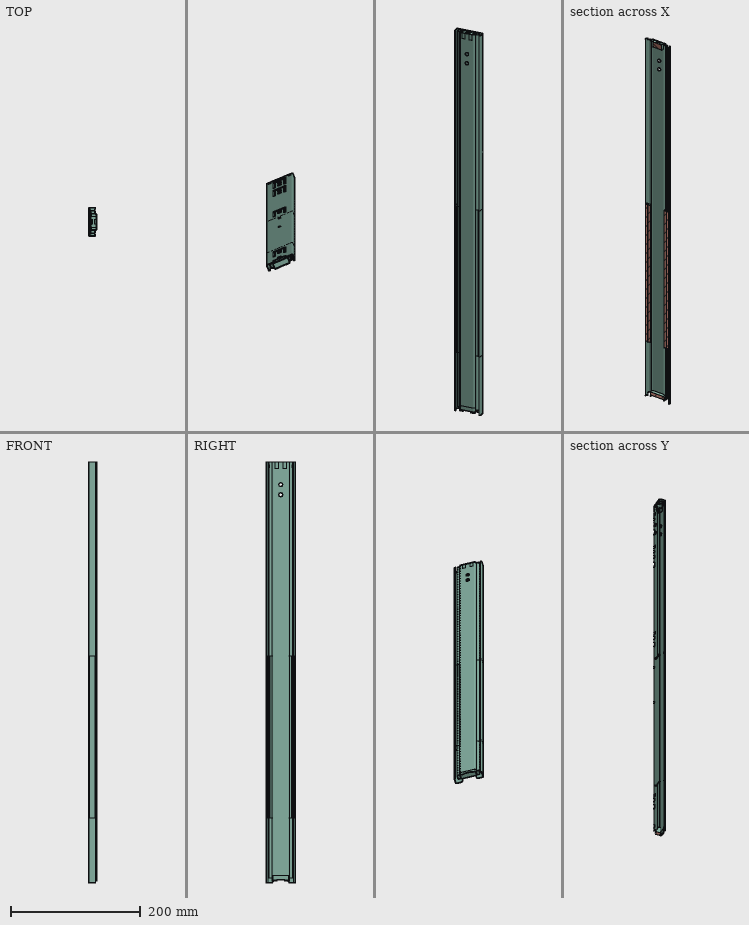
import cadquery as cq


slide_length = 650.0
slide_depth = 12.7
slide_height = 44.98
sheet = 1.2
gap = 1.2

outer_half = slide_height / 2
outer_depth = 10.9
outer_bend = 1.8
outer_lip = 2.8

middle_half = 18.0
middle_web_x = sheet + gap
middle_front_x = 10.3
middle_bend = 2.0
middle_lip = 4.4
middle_bottom = 7.5
middle_step_half = 8.8
middle_step = 0.4

inner_half = 13.2
inner_flange_x = 5.0
inner_bend = 2.4
inner_bottom = 2.6
inner_notch_half = 6.0

inner_cage_sheet = 0.8
outer_cage_clearance = 0.2
cage_bottom = 100.0
cage_top = 350.0

hole_pitch = 32.0
first_hole_z = slide_length - 35.0
hole_diameter = 6.0
screw_diameter = 5.5
long_tab_holes = [first_hole_z, first_hole_z - 2 * hole_pitch]
short_tab_holes = [first_hole_z - 7 * hole_pitch, first_hole_z - 17 * hole_pitch]

slot_half = 10.8
slot_width = 3.9
slot_corner_radius = 2.9
slot_end_radius = 1.9
long_slot_top = 20.5
long_slot_bottom = -24.5
long_pilot = 10.0
long_oblong = -15.6
oblong_length = 9.8
through_hole_heights = [first_hole_z, first_hole_z + long_oblong]
short_slot_top = 10.0
short_slot_bottom = -28.5
short_oblong = -13.0
short_oblong_length = 8.0

pilot_diameter = 4.6
pin_hole_diameter = 4.0
pin_hole_heights = [slide_length - 6.5, 333.0, 264.0]
bottom_hole_z = 19.2
corner_window = 3.9
corner_window_y = 16.7
corner_window_z = slide_length - 6.5
notch_top = 10.4
notch_flare = 2.2
notch_straight = 3.4

bumper_x = middle_web_x + sheet
bumper_height = 10.0
bumper_half = 8.5
neck_half_length = 3.5
neck_thickness = 2.8
bottom_bumper_z = 4.5
bottom_bumper_top = 11.0


def channel(half_width, depth, bend, lip, bottom, top):
    """C-shaped rail on X = 0, opening toward +X, with rounded bends and inward lips."""
    height = top - bottom
    base = cq.Workplane("XY").workplane(offset=bottom)
    body = (
        base.center(depth / 2, 0)
        .rect(depth, 2 * half_width)
        .extrude(height)
        .edges("|Z")
        .fillet(bend)
    )
    cavity = (
        base.center(depth / 2, 0)
        .rect(depth - 2 * sheet, 2 * (half_width - sheet))
        .extrude(height)
        .edges("|Z")
        .fillet(bend - sheet)
    )
    mouth = base.center(depth - sheet / 2, 0).rect(2 * sheet, 2 * (half_width - lip)).extrude(height)
    return body.cut(cavity).cut(mouth)


def bore(diameter, z):
    """Round cutter along X through all rails."""
    return cq.Workplane("YZ").center(0, z).circle(diameter / 2).extrude(slide_depth)


def oblong_bore(width, length, z):
    """Oblong cutter along X, long in Z."""
    return cq.Workplane("YZ").center(0, z).slot2D(length, width, 90).extrude(sheet)


def block(x0, x1, half_width, z0, z1):
    """Box symmetric about Y = 0."""
    return cq.Workplane("XY").box(
        x1 - x0, 2 * half_width, z1 - z0, centered=(False, True, False)
    ).translate((x0, 0, z0))


def u_slot(top, bottom):
    """Slot around three sides of a mounting tab, with rounded corners and round ends."""
    tab_half = slot_half - slot_width
    around = block(0, sheet, slot_half, bottom, top).edges("|X and >Z").fillet(slot_corner_radius)
    slot = around.cut(block(0, sheet, tab_half, bottom, top - slot_width))
    return slot.edges("|X and <Z").fillet(slot_end_radius)


def make_outer_rail():
    rail = channel(outer_half, outer_depth, outer_bend, outer_lip, 0, slide_length)
    for z in long_tab_holes:
        rail = rail.cut(u_slot(z + long_slot_top, z + long_slot_bottom))
        rail = rail.cut(bore(pilot_diameter, z + long_pilot))
        rail = rail.cut(bore(hole_diameter, z))
        rail = rail.cut(oblong_bore(hole_diameter, oblong_length, z + long_oblong))
    for z in short_tab_holes:
        rail = rail.cut(u_slot(z + short_slot_top, z + short_slot_bottom))
        rail = rail.cut(bore(hole_diameter, z))
        rail = rail.cut(oblong_bore(hole_diameter, short_oblong_length, z + short_oblong))
    for z in pin_hole_heights:
        rail = rail.cut(bore(pin_hole_diameter, z))
    rail = rail.cut(bore(hole_diameter, bottom_hole_z))
    for side in (-1, 1):
        window = cq.Workplane("YZ").center(side * corner_window_y, corner_window_z)
        rail = rail.cut(window.rect(corner_window, corner_window).extrude(sheet))
    notch = (
        cq.Workplane("YZ")
        .moveTo(-slot_half - notch_flare, 0)
        .lineTo(-slot_half, notch_straight)
        .lineTo(-slot_half, notch_top)
        .lineTo(slot_half, notch_top)
        .lineTo(slot_half, notch_straight)
        .lineTo(slot_half + notch_flare, 0)
        .close()
        .extrude(sheet)
    )
    return rail.cut(notch)


def make_middle_rail():
    depth = middle_front_x - middle_web_x
    rail = channel(middle_half, depth, middle_bend, middle_lip, middle_bottom, slide_length)
    rail = rail.translate((middle_web_x, 0, 0))
    step_x = middle_web_x + middle_step
    rail = rail.cut(block(middle_web_x, step_x, middle_step_half, middle_bottom, slide_length))
    for z in through_hole_heights:
        rail = rail.cut(bore(screw_diameter, z))
    return rail


def make_inner_rail():
    web_x = slide_depth - sheet
    rail = block(inner_flange_x, slide_depth, inner_half, inner_bottom, slide_length)
    rail = rail.edges("|Z and >X").fillet(inner_bend)
    hollow = block(inner_flange_x, web_x, inner_half - sheet, inner_bottom, slide_length)
    hollow = hollow.edges("|Z and >X").fillet(inner_bend - sheet)
    rail = rail.cut(hollow)
    rail = rail.cut(block(web_x, slide_depth, inner_notch_half, inner_bottom, bottom_bumper_z))
    for z in through_hole_heights:
        rail = rail.cut(bore(screw_diameter, z))
    return rail


def make_outer_cage():
    web_x = sheet + outer_cage_clearance
    half = outer_half - sheet
    body = block(web_x, outer_depth - sheet, half, cage_bottom, cage_top)
    body = body.edges("|Z").fillet(outer_bend - sheet)
    return body.cut(block(middle_web_x, outer_depth, middle_half, cage_bottom, cage_top))


def make_inner_cage():
    web_x = middle_web_x + sheet
    half = middle_half - sheet
    body = block(web_x, middle_front_x - sheet, half, cage_bottom, cage_top)
    body = body.edges("|Z").fillet(middle_bend - sheet)
    return body.cut(block(web_x + inner_cage_sheet, outer_depth, inner_half, cage_bottom, cage_top))


def make_top_bumper():
    """Dumbbell-shaped stop between the middle and drawer webs, flush with the top end."""
    web_x = slide_depth - sheet
    bottom = slide_length - bumper_height
    bumper = block(bumper_x, web_x, bumper_half, bottom, slide_length)
    waist = (web_x - bumper_x - neck_thickness) / 2
    for x in (bumper_x, web_x - waist):
        bumper = bumper.cut(block(x, x + waist, neck_half_length, bottom, slide_length))
    return bumper


def make_bottom_bumper():
    """Block filling the hollow of the drawer rail, reaching below the middle rail."""
    web_x = slide_depth - sheet
    bumper = block(bumper_x, web_x, inner_half - sheet, bottom_bumper_z, bottom_bumper_top)
    return bumper.edges("|Z and >X").fillet(inner_bend - sheet)


bodies = [
    make_outer_rail(),
    make_middle_rail(),
    make_inner_rail(),
    make_outer_cage(),
    make_inner_cage(),
    make_top_bumper(),
    make_bottom_bumper(),
]
result = cq.Compound.makeCompound([body.val() for body in bodies])